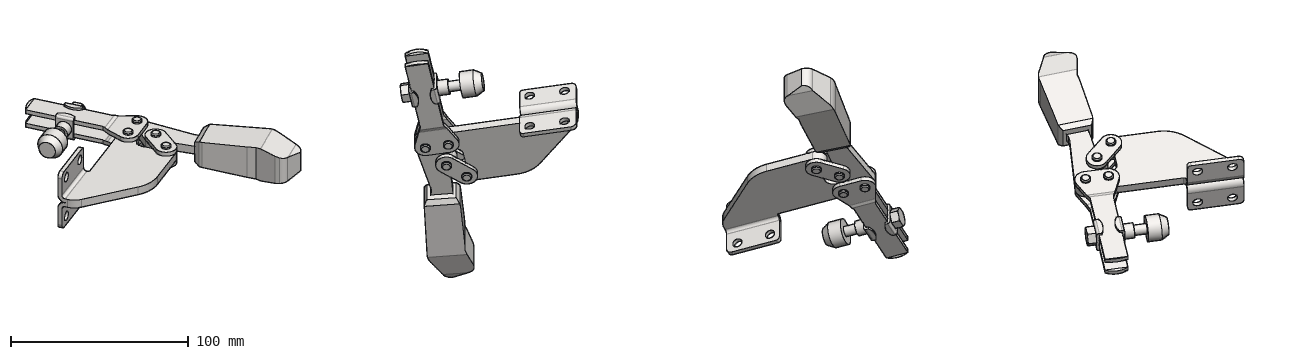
import cadquery as cq
import math


sheet = 2.6
web = 2 * sheet
web_face = web / 2

lug_radius = 12.1 / 2
pivot_pitch = 13.1
base_arm_pivot = (0, 0)
lever_arm_pivot = (0, pivot_pitch)
lever_link_pivot = (15.2, 3.9)
base_link_pivot = (25.4, -5.8)

shank_radius = 2.0
head_radius = 5.7 / 2
head_height = 1.6
head_chamfer = 0.6

base_left = -lug_radius
base_right = base_link_pivot[0] + lug_radius
base_bottom = -75.2
shoulder_y = -6.6
shoulder_fillet = 5.0
side_fillet = 20.0
toe_fillet = 10.0
heel_fillet = 1.3
toe_slope_x = -1.8
flange_height = 32.2
flange_half_width = 36.7 / 2
flange_bend = 2.0
flange_face = -12.0
flange_top_radius = 2.0
flange_bottom_radius = 3.0
hole_diameter = 5.5
hole_z = 12.8
hole_ys = (-48.7, -68.6)

arm_width = pivot_pitch
arm_gap = 6.3 / 2
arm_tip = -63.6
arm_tip_sag = 1.3
tip_flare = 0.6
jog_front = -13.9
jog_back = -11.8
taper_start = -15.4

spindle_x = -38.2
spindle_radius = 6.0 / 2
collar_radius = 4.4
collar_end = -7.5
bracket_width = 10.8
bracket_sheet = 1.5
bracket_half_height = 7.1
ear_side = 1.5
ear_tip = 3.0
hex_radius = 5.7
hex_height = 4.9
hex_chamfer = 0.5

cap_radius = 15.0 / 2
cap_tip_radius = 5.0
cap_back = -14.7
cap_shoulder = -22.5
cap_front = -26.9
cap_bore_depth = 4.9

lever_top = (33.2, 16.2)
lever_bottom = (24.6, 3.2)
lever_heel = (3.2, 8.1)
tang_start = 38.5
tang_tilt = 5.0
tang_length = 22.7
tang_low = -6.8
tang_high = 6.0
lever_flare_start = (36.0, 16.3)
lever_top_angle = 85
lever_rear_angle = 222

grip_origin = (tang_start, 11.3)
grip_length = 59.9
grip_mouth_top = (0, 8.0)
grip_mouth_corner = (1.3, 8.9)
grip_top_start = (3.5, 9.9)
grip_top_end = (36.0, 11.5)
grip_crest = (39.5, 11.5)
grip_back_start = (42.9, 10.7)
grip_back_end = (55.8, 4.2)
grip_nose = (58.5, 2.6)
grip_tip = (grip_length, -0.8)
grip_butt_start = (55.3, -10.8)
grip_butt = (53.9, -12.8)
grip_butt_end = (51.5, -13.8)
grip_underside = [
    (48.9, -13.6), (36.4, -10.0), (31.2, -10.4), (4.9, -10.5), (3.0, -10.2), (0, -8.5),
]
grip_mouth_half = 12.8 / 2
grip_collar_u = 3.2
grip_collar_half = 16.3 / 2
grip_ridge_u = 39.5
grip_ridge_half = 21.2 / 2
grip_tip_half = 6.1
grip_end_u = 55.7
grip_end_half = 7.8


def tangent_point(center, radius, angle):
    """Point on a circle in the direction of angle, in degrees."""
    turn = math.radians(angle)
    return (center[0] + radius * math.cos(turn), center[1] + radius * math.sin(turn))


def disc(center, radius, bottom, top):
    return cq.Workplane("XY", origin=(center[0], center[1], bottom)).circle(radius).extrude(top - bottom)


def slab(outline, half_thickness):
    """Extrude a closed XY outline equally to both sides of Z = 0."""
    return outline.extrude(half_thickness, both=True)


def drill(body, pivots):
    for pivot in pivots:
        body = body.cut(disc(pivot, shank_radius, -web_face, web_face))
    return body


def rivet(pivot, seat):
    """Rivet through the plates, with heads on outer faces at Z = +-seat."""
    body = disc(pivot, shank_radius, -seat, seat)
    head = disc(pivot, head_radius, seat, seat + head_height).faces(">Z").chamfer(head_chamfer)
    return body.union(head).union(head.mirror("XY"))


def make_base():
    toe_side_y = base_bottom + base_right - toe_slope_x
    profile = slab(
        cq.Workplane("XY").polyline([
            (base_left, 0),
            (base_left, base_bottom + flange_height),
            (flange_face + sheet + flange_bend, base_bottom + flange_height),
            (flange_face + sheet + flange_bend, base_bottom),
            (toe_slope_x, base_bottom),
            (base_right, toe_side_y),
            (base_right, base_link_pivot[1]),
            (base_link_pivot[0], shoulder_y),
            (lug_radius, shoulder_y),
            (lug_radius, 0),
        ]).close(),
        web_face,
    )
    corner_fillets = (
        ((base_left, base_bottom + flange_height), heel_fillet),
        ((toe_slope_x, base_bottom), toe_fillet),
        ((base_right, toe_side_y), side_fillet),
        ((lug_radius, shoulder_y), shoulder_fillet),
    )
    for (x, y), radius in corner_fillets:
        corner = cq.selectors.NearestToPointSelector((x, y, 0))
        profile = profile.edges("|Z").edges(corner).fillet(radius)
    for pivot in (base_arm_pivot, base_link_pivot):
        profile = profile.union(disc(pivot, lug_radius, -web_face, web_face))
    body = drill(profile, (base_arm_pivot, base_link_pivot))

    flange = make_flange()
    return body.union(flange).union(flange.mirror("XY"))


def make_flange():
    """Leaf of the web bent a quarter turn outward, with two mounting holes."""
    bend_x = flange_face + sheet + flange_bend
    bend_z = web_face + flange_bend
    outer_bend = sheet + flange_bend
    inner_mid = tangent_point((bend_x, bend_z), flange_bend, 225)
    outer_mid = tangent_point((bend_x, bend_z), outer_bend, 225)
    section = (
        cq.Workplane("XZ", origin=(0, base_bottom, 0))
        .moveTo(bend_x, bend_z - outer_bend)
        .threePointArc(outer_mid, (flange_face, bend_z))
        .lineTo(flange_face, flange_half_width)
        .lineTo(flange_face + sheet, flange_half_width)
        .lineTo(flange_face + sheet, bend_z)
        .threePointArc(inner_mid, (bend_x, web_face))
        .close()
    )
    body = section.extrude(-flange_height)
    body = body.edges("|X and >Z and >Y").fillet(flange_top_radius)
    body = body.edges("|X and >Z and <Y").fillet(flange_bottom_radius)
    for y in hole_ys:
        hole = cq.Workplane("YZ", origin=(flange_face, y, hole_z)).circle(hole_diameter / 2).extrude(sheet)
        body = body.cut(hole)
    return body


def make_arm_plate():
    """Upper arm plate: its plan outline cut from a jogged sheet."""
    taper = 90 + math.degrees(math.asin(lug_radius / -taper_start))
    tip_corner = arm_tip + arm_tip_sag
    plan = (
        cq.Workplane("XY")
        .moveTo(tip_corner, 0)
        .lineTo(taper_start, 0)
        .lineTo(*tangent_point(base_arm_pivot, lug_radius, -taper))
        .threePointArc(tangent_point(base_arm_pivot, lug_radius, -45), (lug_radius, 0))
        .lineTo(lug_radius, pivot_pitch)
        .threePointArc(
            tangent_point(lever_arm_pivot, lug_radius, 45),
            tangent_point(lever_arm_pivot, lug_radius, taper),
        )
        .lineTo(taper_start, arm_width)
        .lineTo(tip_corner, arm_width)
        .threePointArc((arm_tip, arm_width / 2), (tip_corner, 0))
        .close()
        .extrude(arm_gap + 2 * sheet)
    )
    inner_face = [
        (arm_tip, arm_gap + tip_flare),
        (tip_corner, arm_gap),
        (jog_front, arm_gap),
        (jog_back, web_face),
        (lug_radius, web_face),
    ]
    outer_face = [(x, z + sheet) for x, z in reversed(inner_face)]
    sheet_reach = 2 * pivot_pitch
    side = cq.Workplane("XZ").polyline(inner_face + outer_face).close().extrude(sheet_reach, both=True)
    return plan.intersect(side)


def make_bracket():
    """Lower clip: a plate across the arm edge with an ear over each arm plate."""
    half_width = bracket_width / 2
    arm_outer = arm_gap + sheet
    body = (
        cq.Workplane("XY", origin=(spindle_x, 0, 0))
        .moveTo(-half_width, -bracket_sheet)
        .lineTo(half_width, -bracket_sheet)
        .lineTo(half_width, ear_side)
        .threePointArc((0, ear_tip), (-half_width, ear_side))
        .close()
        .extrude(bracket_half_height, both=True)
    )
    body = body.edges("|X and <Y").fillet(bracket_sheet)
    opening = cq.Workplane("XY").box(
        bracket_width, 2 * ear_tip, 2 * arm_outer, centered=(True, False, True)
    ).translate((spindle_x, 0, 0))
    bore = cq.Workplane("XZ", origin=(spindle_x, 0, 0)).circle(spindle_radius).extrude(bracket_sheet)
    return body.cut(opening).cut(bore)


def make_arm():
    plate = make_arm_plate()
    bracket = make_bracket()
    upper_bracket = bracket.mirror("XZ").translate((0, arm_width, 0))
    body = plate.union(plate.mirror("XY"))
    for pivot in (base_arm_pivot, lever_arm_pivot):
        body = body.union(rivet(pivot, web_face + sheet))
    return body.union(bracket).union(upper_bracket)


def make_link():
    """Two round-ended link plates held together by their rivets."""
    run = base_link_pivot[0] - lever_link_pivot[0]
    rise = base_link_pivot[1] - lever_link_pivot[1]
    middle = (lever_link_pivot[0] + run / 2, lever_link_pivot[1] + rise / 2, web_face)
    plate = (
        cq.Workplane("XY", origin=middle)
        .slot2D(math.hypot(run, rise) + 2 * lug_radius, 2 * lug_radius, math.degrees(math.atan2(rise, run)))
        .extrude(sheet)
    )
    body = plate.union(plate.mirror("XY"))
    for pivot in (lever_link_pivot, base_link_pivot):
        body = body.union(rivet(pivot, web_face + sheet))
    return body


def grip_plane():
    axis = tangent_point((0, 0), 1, tang_tilt)
    return cq.Plane(origin=(*grip_origin, 0), xDir=(*axis, 0), normal=(0, 0, 1))


def make_tang():
    """Straight end of the lever that the grip is fitted over."""
    return slab(
        cq.Workplane(grip_plane()).polyline([
            (0, tang_low), (tang_length, tang_low), (tang_length, tang_high), (0, tang_high),
        ]).close(),
        web_face,
    )


def make_lever():
    mouth_low = grip_plane().toWorldCoords((0, tang_low)).toTuple()[:2]
    mouth_high = grip_plane().toWorldCoords((0, tang_high)).toTuple()[:2]
    body = slab(
        cq.Workplane("XY").polyline([
            lever_heel,
            tangent_point(lever_link_pivot, lug_radius, lever_rear_angle),
            lever_link_pivot,
            lever_bottom,
            mouth_low,
            mouth_high,
            lever_flare_start,
            lever_top,
            tangent_point(lever_arm_pivot, lug_radius, lever_top_angle),
            lever_arm_pivot,
        ]).close(),
        web_face,
    )
    for pivot in (lever_arm_pivot, lever_link_pivot):
        body = body.union(disc(pivot, lug_radius, -web_face, web_face))
    return drill(body, (lever_arm_pivot, lever_link_pivot)).union(make_tang())


def make_grip():
    """Grip outline in plan, thinned in side view towards both ends."""
    plan = slab(
        cq.Workplane(grip_plane())
        .moveTo(*grip_mouth_top)
        .threePointArc(grip_mouth_corner, grip_top_start)
        .lineTo(*grip_top_end)
        .threePointArc(grip_crest, grip_back_start)
        .lineTo(*grip_back_end)
        .threePointArc(grip_nose, grip_tip)
        .lineTo(*grip_butt_start)
        .threePointArc(grip_butt, grip_butt_end)
        .polyline(grip_underside, includeCurrent=True)
        .close(),
        grip_ridge_half,
    )
    upper_edge = [
        (0, grip_mouth_half),
        (grip_collar_u, grip_collar_half),
        (grip_ridge_u, grip_ridge_half),
        (grip_end_u, grip_end_half),
        (grip_length, grip_tip_half),
    ]
    lower_edge = [(u, -half) for u, half in reversed(upper_edge)]
    along = grip_plane()
    side_plane = cq.Plane(origin=along.origin, xDir=along.xDir, normal=-along.yDir)
    side = cq.Workplane(side_plane).polyline(upper_edge + lower_edge).close().extrude(grip_length, both=True)
    return plan.intersect(side).cut(make_tang())


def rod(radius, start, end):
    """Cylinder about the spindle axis between two Y positions."""
    return cq.Workplane("XZ", origin=(spindle_x, start, 0)).circle(radius).extrude(start - end)


def make_spindle():
    """Hexagon-head screw with a collar below the arm and a stem into the cap."""
    hex_seat = arm_width + bracket_sheet
    head = (
        cq.Workplane("XZ", origin=(spindle_x, hex_seat, 0))
        .polygon(6, 2 * hex_radius)
        .extrude(-hex_height)
    )
    rounding = (
        cq.Workplane("XZ", origin=(spindle_x, hex_seat, 0))
        .circle(hex_radius)
        .extrude(-hex_height)
        .faces(">Y")
        .chamfer(hex_chamfer)
    )
    stem = rod(spindle_radius, hex_seat, cap_back - cap_bore_depth)
    collar = rod(collar_radius, -bracket_sheet, collar_end)
    return head.intersect(rounding).union(stem).union(collar)


def make_cap():
    body = (
        cq.Workplane("XY", origin=(spindle_x, 0, 0))
        .moveTo(0, cap_back)
        .lineTo(cap_radius, cap_back)
        .lineTo(cap_radius, cap_shoulder)
        .lineTo(cap_tip_radius, cap_front)
        .lineTo(0, cap_front)
        .close()
        .revolve(360, (0, 0, 0), (0, 1, 0))
    )
    return body.cut(rod(spindle_radius, cap_back, cap_back - cap_bore_depth))


base = make_base().solids()
arm = make_arm().solids()
link = make_link().solids()
lever = make_lever().solids()
grip = make_grip().solids()
spindle = make_spindle().solids()
cap = make_cap().solids()

result = cq.Compound.makeCompound([
    base.val(),
    arm.val(),
    link.val(),
    lever.val(),
    grip.val(),
    spindle.val(),
    cap.val(),
])